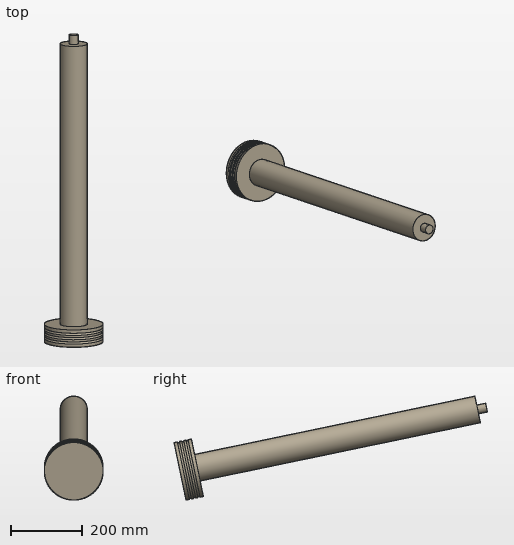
import cadquery as cq
import math

tilt_angle = 11.75
span_y = 876

head_diameter = 165.0
head_thickness = 50.0
groove_count = 3
groove_width = 6.0
groove_pitch = 12.0

shaft_diameter = 76.0
pin_diameter = 25.0
pin_length = 25.0

tilt = math.radians(tilt_angle)
rim_reach = (head_diameter + pin_diameter) / 2 * math.sin(tilt)
total_length = (span_y - rim_reach) / math.cos(tilt)
shaft_end = total_length - pin_length


def disc(diameter, start, end):
    """Cylinder along +Y between two positions on the axis."""
    return cq.Workplane("XZ", origin=(0, start, 0)).circle(diameter / 2).extrude(start - end)


def groove(center):
    """Round-bottomed ring centred on the rim of the head at one axial position."""
    rim_radius = head_diameter / 2
    profile = cq.Workplane("XY", origin=(rim_radius, center, 0)).circle(groove_width / 2)
    return profile.revolve(360, (-rim_radius, 0, 0), (-rim_radius, 1, 0))


def grooved_head():
    """Round head with evenly pitched grooves centred on its thickness."""
    head = disc(head_diameter, 0, head_thickness)
    for index in range(groove_count):
        offset = (index - (groove_count - 1) / 2) * groove_pitch
        head = head.cut(groove(head_thickness / 2 + offset))
    return head


shaft = disc(shaft_diameter, head_thickness, shaft_end)
pin = disc(pin_diameter, shaft_end, total_length)
straight_part = grooved_head().union(shaft).union(pin)

result = straight_part.rotate((0, 0, 0), (1, 0, 0), tilt_angle)